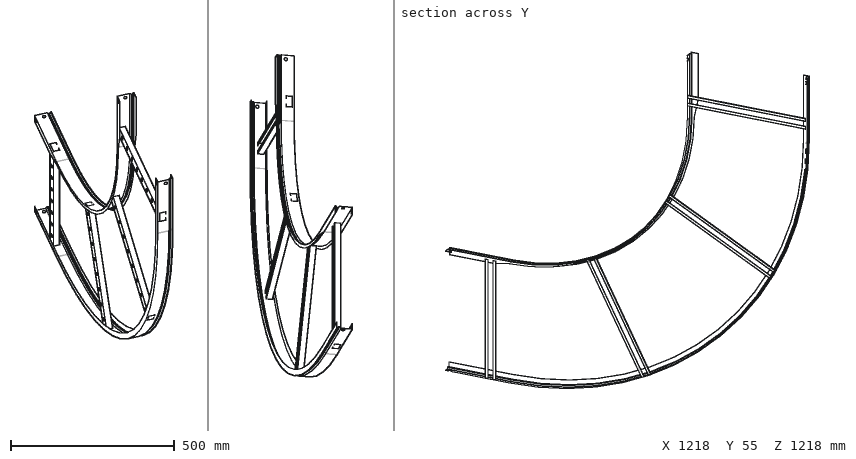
import cadquery as cq
import math

SIZE = 1218.0
LEG = 215.0
SPACING = 402.0
OUTER_RADIUS = SIZE - LEG
INNER_RADIUS = OUTER_RADIUS - SPACING
CENTER = (LEG, SIZE - LEG)
DIAGONAL = math.sqrt(0.5)

SHEET = 1.5
INNER_HEIGHT = 55.0
OUTER_HEIGHT = 50.0
INNER_FLANGE = 24.0
OUTER_FLANGE = 20.0
BEND_FLANGE = 11.0
TAPER_START = 153.0
GROOVE_DEPTH = 5.0
GROOVE_WIDTH = 11.0
GROOVE_SLOPE = 4.0
GROOVE_EDGE = 1.0

END_HOLE = 10.0
END_HOLE_INSET = 13.0
WEB_HOLE_HEIGHT = 27.0
INNER_FLANGE_HOLE_DEPTH = 12.0
OUTER_FLANGE_HOLE_DEPTH = 9.0

RUNG_WIDTH = 37.0
RUNG_DEPTH = 21.0
RUNG_BASE = 6.0
RUNG_LIP = 10.0
RUNG_INSET = 151.0
RUNG_TILT = 27.5
HOLES = 8
HOLE_PITCH = 49.0
HOLE_LENGTH = 13.0
HOLE_WIDTH = 9.0
HOLE_MIDDLE = (INNER_RADIUS + OUTER_RADIUS) / 2


def slab(outline, height):
    """Extrude an XZ outline from Y = 0 towards +Y."""
    return outline.close().extrude(-height)


def arc_middle(radius):
    return (CENTER[0] + radius * DIAGONAL, CENTER[1] - radius * DIAGONAL)


def band(near, far, height):
    """L-shaped bent band between two radii of the bend, with the straight legs."""
    outline = (
        cq.Workplane("XZ")
        .moveTo(0, CENTER[1] - near)
        .lineTo(LEG, CENTER[1] - near)
        .threePointArc(arc_middle(near), (LEG + near, CENTER[1]))
        .lineTo(LEG + near, SIZE)
        .lineTo(LEG + far, SIZE)
        .lineTo(LEG + far, CENTER[1])
        .threePointArc(arc_middle(far), (LEG, CENTER[1] - far))
        .lineTo(0, CENTER[1] - far)
    )
    return slab(outline, height)


def rail_section(web_radius, inward, height, flange):
    """Channel section in the plane of the rail end: web with a groove and two flanges."""
    web = CENTER[1] - web_radius
    groove_top = height - SHEET - GROOVE_EDGE
    groove_bottom = groove_top - GROOVE_WIDTH
    floor_top = groove_top - GROOVE_SLOPE
    floor_bottom = groove_bottom + GROOVE_SLOPE
    outside = [
        (0, 0),
        (groove_bottom, 0),
        (floor_bottom, GROOVE_DEPTH),
        (floor_top, GROOVE_DEPTH),
        (groove_top, 0),
        (height, 0),
    ]
    inside = [
        (height, flange),
        (height - SHEET, flange),
        (height - SHEET, SHEET),
        (groove_top, SHEET),
        (floor_top, GROOVE_DEPTH + SHEET),
        (floor_bottom, GROOVE_DEPTH + SHEET),
        (groove_bottom, SHEET),
        (SHEET, SHEET),
        (SHEET, flange),
        (0, flange),
    ]
    points = [(y, web + inward * depth) for y, depth in outside + inside]
    return cq.Workplane("YZ").polyline(points).close()


def mirrored(shape):
    """Mirror about the diagonal of the bend, which swaps the two rail ends."""
    return shape.mirror("XY").rotate((0, 0, 0), (0, 1, 0), 90).translate((SIZE, 0, SIZE))


def end_holes(web_radius, inward, flange_hole_depth):
    """Cutters for the hole in the web and the hole in the -Y flange at a rail end."""
    web = CENTER[1] - web_radius
    web_hole = (
        cq.Workplane("XY", origin=(0, 0, web - SHEET))
        .center(END_HOLE_INSET, WEB_HOLE_HEIGHT)
        .circle(END_HOLE / 2)
        .extrude(2 * SHEET)
    )
    flange_hole = (
        cq.Workplane("XZ")
        .center(END_HOLE_INSET, web + inward * flange_hole_depth)
        .circle(END_HOLE / 2)
        .extrude(-2 * SHEET)
    )
    return web_hole.union(flange_hole)


def flange_taper():
    """Cutter that narrows the inner rail flanges towards the bend."""
    web = CENTER[1] - INNER_RADIUS
    wedge = (
        cq.Workplane("XZ")
        .moveTo(TAPER_START, web - INNER_FLANGE)
        .lineTo(LEG, web - INNER_FLANGE)
        .lineTo(LEG, web - BEND_FLANGE)
    )
    return slab(wedge, INNER_HEIGHT)


def rail_leg(web_radius, inward, height, flange, flange_hole_depth):
    section = rail_section(web_radius, inward, height, flange)
    return section.extrude(LEG).cut(end_holes(web_radius, inward, flange_hole_depth))


def rail_bend(web_radius, inward, height, flange):
    section = rail_section(web_radius, inward, height, flange)
    return section.revolve(90, (12, CENTER[1], 0), (0, CENTER[1], 0)).translate((LEG, 0, 0))


def rung_blank():
    """Overlong lipped channel along -Z from the bend centre, with a row of slots in its face."""
    length = OUTER_RADIUS + RUNG_WIDTH
    channel = cq.Workplane("XY").rect(RUNG_WIDTH, RUNG_DEPTH).extrude(-length)
    hollow = cq.Workplane("XY").rect(RUNG_WIDTH - 2 * SHEET, RUNG_DEPTH - 2 * SHEET).extrude(-length)
    mouth = (
        cq.Workplane("XY")
        .center(0, RUNG_DEPTH / 2)
        .rect(RUNG_WIDTH - 2 * RUNG_LIP, RUNG_DEPTH)
        .extrude(-length)
    )
    slots = (
        cq.Workplane("XZ")
        .center(0, -HOLE_MIDDLE)
        .rarray(12, HOLE_PITCH, 1, HOLES)
        .slot2D(HOLE_LENGTH, HOLE_WIDTH)
        .extrude(RUNG_DEPTH)
    )
    body = channel.cut(hollow).cut(mouth).cut(slots)
    return body.translate((0, RUNG_BASE + RUNG_DEPTH / 2, 0))


inner_leg = rail_leg(INNER_RADIUS, -1, INNER_HEIGHT, INNER_FLANGE, INNER_FLANGE_HOLE_DEPTH)
inner_leg = inner_leg.cut(flange_taper())
inner_bend = rail_bend(INNER_RADIUS, -1, INNER_HEIGHT, BEND_FLANGE)
inner_rail = inner_bend.union(inner_leg).union(mirrored(inner_leg))

outer_leg = rail_leg(OUTER_RADIUS, 1, OUTER_HEIGHT, OUTER_FLANGE, OUTER_FLANGE_HOLE_DEPTH)
outer_bend = rail_bend(OUTER_RADIUS, 1, OUTER_HEIGHT, OUTER_FLANGE)
outer_rail = outer_bend.union(outer_leg).union(mirrored(outer_leg))

between_webs = band(INNER_RADIUS + SHEET, OUTER_RADIUS - SHEET, INNER_HEIGHT)
leg_rung = rung_blank().translate((RUNG_INSET, 0, CENTER[1]))
bend_rung = rung_blank().rotate((0, 0, 0), (0, 1, 0), -RUNG_TILT).translate((CENTER[0], 0, CENTER[1]))
rungs = []
for blank in (leg_rung, bend_rung):
    trimmed = blank.intersect(between_webs)
    rungs += [trimmed, mirrored(trimmed)]

result = cq.Compound.makeCompound([inner_rail.val(), outer_rail.val(), *[rung.val() for rung in rungs]])